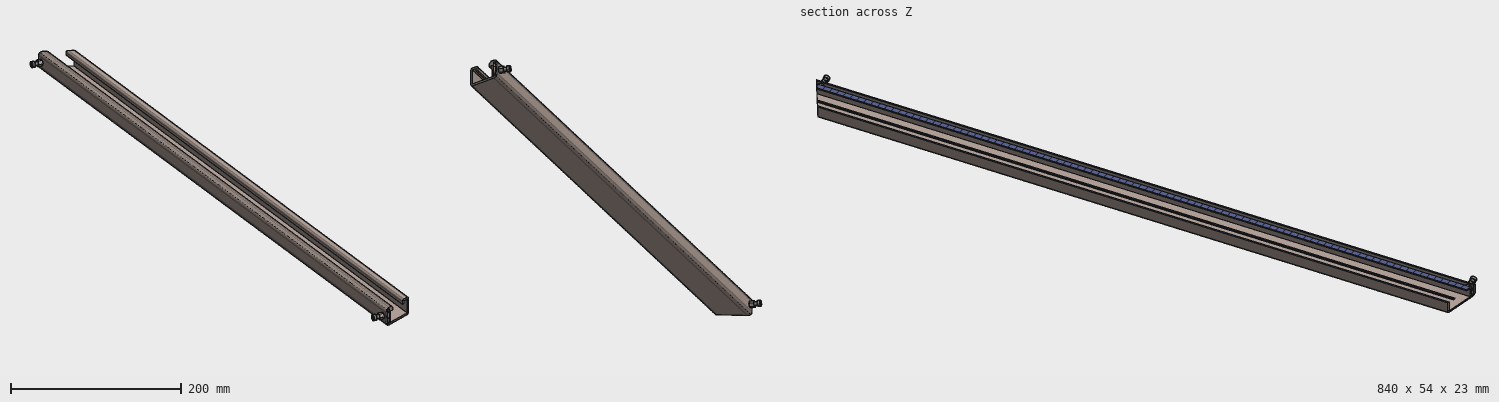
import cadquery as cq

length = 840.0
overall_depth = 54.0
height = 23.0
rail_depth = 40.0
front_y = -overall_depth / 2
rail_front_y = overall_depth / 2 - rail_depth
back_y = overall_depth / 2
mid_z = height / 2

wall = 2.5
front_radius = 5.0
lip_radius = 5.0
back_radius = 2.5
back_lip_width = 11.0
lip_drop = 6.0
cavity_depth = 3.0
inner_wall = 2.0
front_lip_width = 13.0
end_setback = 18.5
cavity_front_y = rail_front_y + wall
cavity_back_y = cavity_front_y + cavity_depth
tube_back_y = cavity_back_y + inner_wall

bolt_inset = 7.5
bolt_x = length / 2 - bolt_inset
head_diameter = 7.5
head_thickness = 3.0
inner_head_diameter = 10.0
socket_width = 4.0
socket_depth = 2.0
shank_diameter = 5.0
collar_width = 8.0
collar_length = 6.0


def block(y_min, y_max, z_min, z_max):
    """Full-length bar with the given section."""
    return cq.Workplane("XY").box(length, y_max - y_min, z_max - z_min).translate(
        (0, (y_min + y_max) / 2, (z_min + z_max) / 2)
    )


def round_bar(diameter, y_min, y_max):
    """Cylinder along Y at the middle of the rail height."""
    return (
        cq.Workplane("XZ", origin=(0, y_min, mid_z))
        .circle(diameter / 2)
        .extrude(y_min - y_max)
    )


def hex_bar(corner_width, y_min, y_max):
    """Hexagonal prism along Y at the middle of the rail height, with two corners pointing along X."""
    return (
        cq.Workplane("XZ", origin=(0, y_min, mid_z))
        .polygon(6, corner_width)
        .extrude(y_min - y_max)
    )


def make_rail():
    """Channel with a hollow front edge, inward lips and mitred ends."""
    back_lip_y = back_y - back_lip_width
    front_lip_y = rail_front_y + front_lip_width
    lip_z = height - lip_drop
    tube = (
        block(rail_front_y, tube_back_y, 0, height)
        .union(block(tube_back_y, front_lip_y, lip_z, height))
        .edges("|X and >Z and >Y")
        .fillet(lip_radius)
        .edges("|X and <Y")
        .fillet(front_radius)
        .cut(block(cavity_front_y, cavity_back_y, wall, height - wall))
    )
    back_channel = (
        block(back_lip_y, back_y, 0, height)
        .edges("|X and >Z")
        .fillet(back_radius)
        .edges("|X and >Y and <Z")
        .fillet(back_radius)
        .cut(block(back_lip_y + wall, back_y - wall, wall, height - wall))
        .cut(block(back_lip_y, back_lip_y + wall, wall, lip_z))
    )
    rail = tube.union(block(tube_back_y, back_lip_y, 0, wall)).union(back_channel)
    back_half = length / 2 - end_setback
    outline = (
        cq.Workplane("XY")
        .polyline([
            (-length / 2, rail_front_y),
            (length / 2, rail_front_y),
            (back_half, back_y),
            (-back_half, back_y),
        ])
        .close()
        .extrude(height)
    )
    rail = rail.intersect(outline)
    for side in (-1, 1):
        hole = round_bar(shank_diameter, rail_front_y, cavity_front_y)
        rail = rail.cut(hole.translate((side * bolt_x, 0, 0)))
    return rail


def make_bolt(x):
    """Captive bolt with a hexagonal collar outside the rail and a round head at each end;
    the outer head has a hexagonal socket.
    """
    collar = hex_bar(collar_width, rail_front_y - collar_length, rail_front_y)
    socket = hex_bar(socket_width, front_y, front_y + socket_depth)
    bolt = (
        round_bar(shank_diameter, front_y, cavity_back_y)
        .union(round_bar(head_diameter, front_y, front_y + head_thickness))
        .union(collar)
        .union(round_bar(inner_head_diameter, cavity_front_y, cavity_back_y))
        .cut(socket)
    )
    return bolt.translate((x, 0, 0))


rail = make_rail()
bolts = [make_bolt(side * bolt_x) for side in (-1, 1)]
result = cq.Compound.makeCompound([rail.val(), *[bolt.val() for bolt in bolts]])